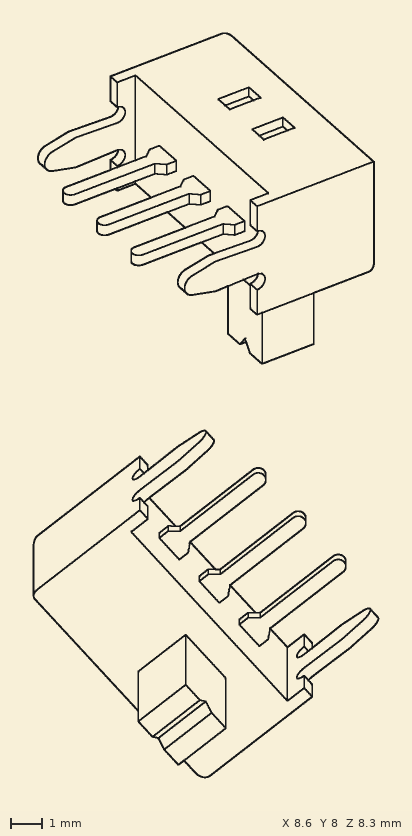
import cadquery as cq


width = 8.6
height = 4.3
housing_depth = 4.0
back_edge_radius = 0.4

plate_thickness = 0.4
plate_depth = 4.7
notch_radius = 0.31
leg_root_half = 0.54
leg_wide_half = 0.59
leg_wide_depth = 6.3
leg_tip_half = 0.39
leg_tip_start_depth = 7.2
leg_tip_depth = 7.5

pin_count = 3
pin_pitch = 1.995
pin_thickness = 0.4
pin_shoulder_half = 0.5
pin_shaft_half = 0.25
pin_shoulder_depth = 4.38
pin_shaft_depth = 4.66
pin_tip_depth = 8.0

window_width = 0.68
window_length = 1.19
window_start = 1.31
window_depth = 0.36

lever_side = 2.0
lever_start = 1.0
lever_length = 4.0
lever_x = lever_side / 2
vee_half_width = 0.29
vee_height = 0.4


def make_housing():
    block = cq.Workplane("XY").box(width, housing_depth, height, centered=(True, False, True))
    block = block.translate((0, -housing_depth, 0))
    return block.faces(">Y").edges().fillet(back_edge_radius)


def make_side_plate(side):
    """Front extension of one side wall; side is -1 or 1."""
    x_start = width / 2 - plate_thickness if side > 0 else -width / 2
    wall_length = plate_depth - housing_depth
    wall = cq.Workplane("XY").box(plate_thickness, wall_length, height, centered=(False, False, True))
    wall = wall.translate((x_start, -plate_depth, 0))

    notch_height = leg_root_half + notch_radius
    notches = (
        cq.Workplane("YZ", origin=(x_start, 0, 0))
        .pushPoints([(-plate_depth, -notch_height), (-plate_depth, notch_height)])
        .circle(notch_radius)
        .extrude(plate_thickness)
    )
    leg = (
        cq.Workplane("YZ", origin=(x_start, 0, 0))
        .moveTo(-plate_depth, leg_root_half)
        .lineTo(-leg_wide_depth, leg_wide_half)
        .lineTo(-leg_tip_start_depth, leg_tip_half)
        .threePointArc((-leg_tip_depth, 0), (-leg_tip_start_depth, -leg_tip_half))
        .lineTo(-leg_wide_depth, -leg_wide_half)
        .lineTo(-plate_depth, -leg_root_half)
        .close()
        .extrude(plate_thickness)
    )
    return wall.cut(notches).union(leg)


def make_pin(x):
    tip_start = pin_tip_depth - pin_shaft_half
    return (
        cq.Workplane("XY", origin=(x, 0, -pin_thickness / 2))
        .moveTo(-pin_shoulder_half, -housing_depth)
        .lineTo(-pin_shoulder_half, -pin_shoulder_depth)
        .lineTo(-pin_shaft_half, -pin_shaft_depth)
        .lineTo(-pin_shaft_half, -tip_start)
        .threePointArc((0, -pin_tip_depth), (pin_shaft_half, -tip_start))
        .lineTo(pin_shaft_half, -pin_shaft_depth)
        .lineTo(pin_shoulder_half, -pin_shoulder_depth)
        .lineTo(pin_shoulder_half, -housing_depth)
        .close()
        .extrude(pin_thickness)
    )


def make_lever():
    """Square post with a V groove across its bottom end."""
    z_top = -height / 2
    z_bottom = z_top - lever_length
    return (
        cq.Workplane("XZ", origin=(0, -lever_start, 0))
        .moveTo(lever_x - lever_side / 2, z_top)
        .lineTo(lever_x - lever_side / 2, z_bottom)
        .lineTo(lever_x - vee_half_width, z_bottom)
        .lineTo(lever_x, z_bottom + vee_height)
        .lineTo(lever_x + vee_half_width, z_bottom)
        .lineTo(lever_x + lever_side / 2, z_bottom)
        .lineTo(lever_x + lever_side / 2, z_top)
        .close()
        .extrude(lever_side)
    )


def make_windows():
    """Cutters for the two shallow pockets, half a pin pitch either side of the middle."""
    window_y = -(window_start + window_length / 2)
    return (
        cq.Workplane("XY", origin=(0, 0, height / 2))
        .pushPoints([(-pin_pitch / 2, window_y), (pin_pitch / 2, window_y)])
        .rect(window_width, window_length)
        .extrude(-window_depth)
    )


result = make_housing().cut(make_windows()).union(make_lever())
for side in (-1, 1):
    result = result.union(make_side_plate(side))
for index in range(pin_count):
    result = result.union(make_pin((index - (pin_count - 1) / 2) * pin_pitch))
result = result.clean()